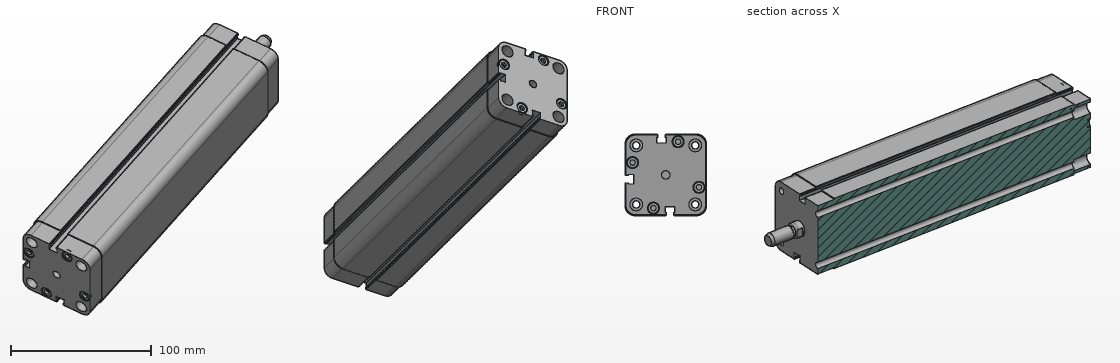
import cadquery as cq

TOTAL_LENGTH = 274.0
ROD_LENGTH = 28.5
HOUSING_LENGTH = TOTAL_LENGTH - ROD_LENGTH
CAP_LENGTH = 14.8

BARREL_SIDE = 58.0
BARREL_CORNER_RADIUS = 7.5
CAP_SETBACK = 0.8
CAP_SIDE = BARREL_SIDE - 2 * CAP_SETBACK
CAP_CORNER_RADIUS = BARREL_CORNER_RADIUS - CAP_SETBACK

SLOT_MOUTH_WIDTH = 5.2
SLOT_INNER_WIDTH = 6.5
SLOT_DEPTH = 6.3
SLOT_LIP = 2.5
SLOT_CHAMFER = 0.5
SLOT_OFFSET = 3.0
SLOT_ANGLES = (0, 90, 180)

MOUNT_SPACING = 42.0
MOUNT_DIAMETER = 5.0
MOUNT_BORE_DIAMETER = 9.0
MOUNT_BORE_DEPTH = CAP_LENGTH

SCREW_SHIFT = 8.8
SCREW_RADIAL = 23.5
SCREW_POCKET_DIAMETER = 8.5
SCREW_HEAD_DIAMETER = 7.5
SCREW_SOCKET_DIAMETER = 3.8
SCREW_POCKET_DEPTH = 2.7
SCREW_HEAD_HEIGHT = 2.2
SCREW_SOCKET_DEPTH = 2.2

CENTRE_HOLE_DIAMETER = 6.0
CENTRE_HOLE_DEPTH = 5.5

ROD_DIAMETER = 12.0
ROD_EDGE_RADIUS = 1.6
THREAD_DIAMETER = 10.1
THREAD_LENGTH = 19.5
TIP_DIAMETER = 8.0
TIP_CHAMFER_LENGTH = 2.5
NECK_DIAMETER = 8.0
NECK_LENGTH = 2.5
FLATS_WIDTH = 10.1
FLATS_LENGTH = 5.2


def along_y(start):
    """Work plane facing +Y at the given Y; its local axes are +X and -Z."""
    return cq.Workplane("XZ", origin=(0, start, 0)).transformed(rotate=(180, 0, 0))


def rounded_bar(side, corner_radius, start, length):
    return along_y(start).rect(side, side).extrude(length).edges("|Y").fillet(corner_radius)


def cylinder(diameter, start, length, centres=((0, 0),)):
    """Cylinders along +Y, at (X, Z) centres."""
    points = [(x, -z) for x, z in centres]
    return along_y(start).pushPoints(points).circle(diameter / 2).extrude(length)


def make_slot(angle, side, start, length):
    """Undercut slot with a chamfered mouth in a bar of the given side, turned about Y from the top."""
    surface = side / 2
    floor = BARREL_SIDE / 2 - SLOT_DEPTH
    lip_underside = BARREL_SIDE / 2 - SLOT_LIP
    right_side = [
        (SLOT_INNER_WIDTH / 2, floor),
        (SLOT_INNER_WIDTH / 2, lip_underside),
        (SLOT_MOUTH_WIDTH / 2, lip_underside),
        (SLOT_MOUTH_WIDTH / 2, surface - SLOT_CHAMFER),
        (SLOT_MOUTH_WIDTH / 2 + SLOT_CHAMFER, surface),
    ]
    left_side = [(-x, z) for x, z in reversed(right_side)]
    outline = [(x - SLOT_OFFSET, -z) for x, z in right_side + left_side]
    slot = along_y(start).polyline(outline).close().extrude(length)
    return slot.rotate((0, 0, 0), (0, 1, 0), -angle)


def make_slotted_bar(side, corner_radius, start, length):
    bar = rounded_bar(side, corner_radius, start, length)
    for angle in SLOT_ANGLES:
        bar = bar.cut(make_slot(angle, side, start, length))
    return bar


def make_housing():
    """Barrel between two end caps, with slots running through all three."""
    barrel_length = HOUSING_LENGTH - 2 * CAP_LENGTH
    barrel = make_slotted_bar(BARREL_SIDE, BARREL_CORNER_RADIUS, CAP_LENGTH, barrel_length)
    front_cap = make_slotted_bar(CAP_SIDE, CAP_CORNER_RADIUS, 0, CAP_LENGTH)
    rear_cap = front_cap.translate((0, HOUSING_LENGTH - CAP_LENGTH, 0))
    return barrel.union(front_cap).union(rear_cap)


def cut_mounting_holes(body):
    reach = MOUNT_SPACING / 2
    corners = [(x, z) for x in (-reach, reach) for z in (-reach, reach)]
    body = body.cut(cylinder(MOUNT_DIAMETER, 0, HOUSING_LENGTH, corners))
    return body.cut(cylinder(MOUNT_BORE_DIAMETER, 0, MOUNT_BORE_DEPTH, corners))


def add_cap_screws(body):
    centres = [
        (SCREW_SHIFT, SCREW_RADIAL),
        (-SCREW_RADIAL, SCREW_SHIFT),
        (-SCREW_SHIFT, -SCREW_RADIAL),
        (SCREW_RADIAL, -SCREW_SHIFT),
    ]
    head_top = SCREW_POCKET_DEPTH - SCREW_HEAD_HEIGHT
    body = body.cut(cylinder(SCREW_POCKET_DIAMETER, 0, SCREW_POCKET_DEPTH, centres))
    body = body.union(cylinder(SCREW_HEAD_DIAMETER, head_top, SCREW_HEAD_HEIGHT, centres))
    return body.cut(cylinder(SCREW_SOCKET_DIAMETER, head_top, SCREW_SOCKET_DEPTH, centres))


def make_rod():
    """Piston rod end with two wrench flats facing -X and +X, then a neck and the thread."""
    thread_start = TOTAL_LENGTH - THREAD_LENGTH
    shoulder = thread_start - NECK_LENGTH
    rod = cylinder(ROD_DIAMETER, HOUSING_LENGTH, shoulder - HOUSING_LENGTH)
    rod = rod.faces(">Y").edges().fillet(ROD_EDGE_RADIUS)

    flats_start = shoulder - FLATS_LENGTH
    blank = along_y(flats_start).rect(2 * ROD_DIAMETER, 2 * ROD_DIAMETER).extrude(FLATS_LENGTH)
    kept = along_y(flats_start).rect(FLATS_WIDTH, 2 * ROD_DIAMETER).extrude(FLATS_LENGTH)
    rod = rod.cut(blank.cut(kept))

    neck = cylinder(NECK_DIAMETER, shoulder, NECK_LENGTH)
    thread = cylinder(THREAD_DIAMETER, thread_start, THREAD_LENGTH)
    tip_chamfer_width = (THREAD_DIAMETER - TIP_DIAMETER) / 2
    tip_edge = thread.faces(">Y").edges()
    thread = tip_edge.chamfer(TIP_CHAMFER_LENGTH, tip_chamfer_width)
    return rod.union(neck).union(thread)


housing = make_housing()
housing = cut_mounting_holes(housing)
housing = add_cap_screws(housing)
housing = housing.cut(cylinder(CENTRE_HOLE_DIAMETER, 0, CENTRE_HOLE_DEPTH))

result = housing.union(make_rod())